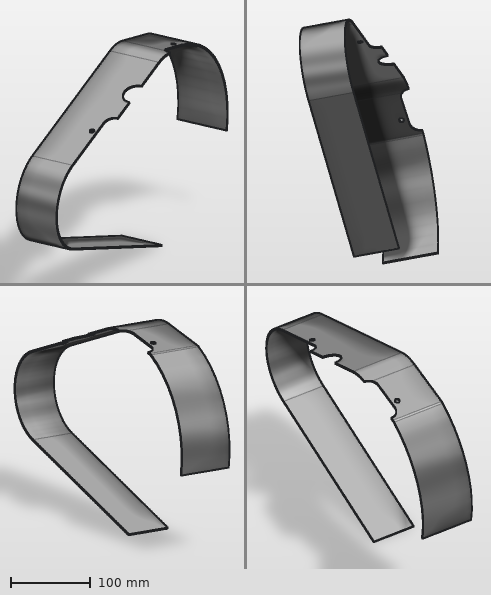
import cadquery as cq
import math

thickness = 2.0
full_width = 71.5
narrow_width = 58.5

lower_slope = 19.0
long_slope = 21.0
top_slope = 12.0

nose_radius = 61.0
lower_length = 230.0
long_length_to_corner = 220.5
crown_radius = 54.0
back_radius = 134.0
back_centre_y = 203.5
back_end_angle = -10.0
knee_radius = 10.0

edge_slot_radius = full_width - narrow_width
notch_radius = 16.0
hole_diameter = 6.0
top_hole_x = 50.2
long_hole_x = 51.4
top_slot_start = -3.5
top_slot_end = 62.5
top_hole_position = 41.6
notch_position = 142.4
long_slot_start = -2 * edge_slot_radius
long_slot_end = 95.7
long_hole_position = 64.3

cut_reach = 12.0
clearance = 5.0

same_point = 1e-6


def polar(degrees):
    """Unit (y, z) vector at an angle from +Y."""
    return math.cos(math.radians(degrees)), math.sin(math.radians(degrees))


def along(point, direction, distance):
    return point[0] + distance * direction[0], point[1] + distance * direction[1]


long_normal = 90.0 + long_slope
top_normal = 90.0 - top_slope
lower_normal = -90.0 - lower_slope
long_direction = polar(long_slope)
top_direction = polar(-top_slope)
lower_direction = polar(-lower_slope)

nose_centre = (0.0, 0.0)
back_centre = (back_centre_y, 0.0)
long_start = along(nose_centre, polar(long_normal), nose_radius)
corner = along(long_start, long_direction, long_length_to_corner)
crown_setback = crown_radius * math.tan(math.radians(long_slope + top_slope) / 2)
crown_start = along(corner, long_direction, -crown_setback)
crown_centre = along(crown_start, polar(long_normal), -crown_radius)
top_start = along(corner, top_direction, crown_setback)


def find_knee_centre():
    """Centre of the bend that touches the top flat and the back arc from inside."""
    start = along(top_start, polar(top_normal), -knee_radius)
    gap = (start[0] - back_centre[0], start[1] - back_centre[1])
    gap_along = gap[0] * top_direction[0] + gap[1] * top_direction[1]
    gap_across = gap[0] * top_direction[1] - gap[1] * top_direction[0]
    half_chord = math.sqrt((back_radius - knee_radius) ** 2 - gap_across**2)
    return along(start, top_direction, half_chord - gap_along)


knee_centre = find_knee_centre()
knee_end_normal = math.degrees(
    math.atan2(knee_centre[1] - back_centre[1], knee_centre[0] - back_centre[0])
)

bends = [
    (nose_centre, nose_radius, 360.0 + lower_normal, long_normal),
    (crown_centre, crown_radius, long_normal, top_normal),
    (knee_centre, knee_radius, top_normal, knee_end_normal),
    (back_centre, back_radius, knee_end_normal, back_end_angle),
]
lower_start = along(nose_centre, polar(lower_normal), nose_radius)
lower_end = along(lower_start, lower_direction, lower_length)


def surface_line(offset):
    """Strip line from the lower end to the back end, shifted outwards by an offset."""
    point = along(lower_end, polar(lower_normal), offset)
    edges = []
    for centre, radius, first, last in bends:
        start, middle, end = (
            cq.Vector(0, *along(centre, polar(angle), radius + offset))
            for angle in (first, (first + last) / 2, last)
        )
        if (cq.Vector(0, *point) - start).Length > same_point:
            edges.append(cq.Edge.makeLine(cq.Vector(0, *point), start))
        edges.append(cq.Edge.makeThreePointArc(start, middle, end))
        point = (end.y, end.z)
    return edges


def make_strip():
    outer = surface_line(thickness / 2)
    inner = surface_line(-thickness / 2)
    lower_tip = cq.Edge.makeLine(outer[0].startPoint(), inner[0].startPoint())
    back_tip = cq.Edge.makeLine(outer[-1].endPoint(), inner[-1].endPoint())
    profile = cq.Wire.assembleEdges(outer + [back_tip] + inner[::-1] + [lower_tip])
    return cq.Workplane(cq.Solid.extrudeLinear(profile, [], cq.Vector(full_width, 0, 0)))


def flat_plane(origin, normal_angle):
    """Work plane on a flat: local x is X, local y runs along the flat towards the back."""
    normal = polar(normal_angle)
    return cq.Workplane(cq.Plane((0, *origin), (1, 0, 0), (0, *normal)))


def edge_slot(plane, start, end):
    """Round-ended slot centred on the +X edge, which leaves the strip at its narrow width."""
    return (
        plane.center(full_width, (start + end) / 2)
        .slot2D(end - start, 2 * edge_slot_radius, 90)
        .extrude(cut_reach, both=True)
    )


def round_cut(plane, x, position, radius):
    """Round cutter for a hole or an edge notch."""
    return plane.center(x, position).circle(radius).extrude(cut_reach, both=True)


def narrow_end_cut():
    """Block that narrows the nose bend and the whole lower flat."""
    y_min = -nose_radius - clearance
    y_max = lower_end[0] + clearance
    z_min = lower_end[1] - clearance
    x_size = full_width - narrow_width + clearance
    block = cq.Workplane().box(x_size, y_max - y_min, long_start[1] - z_min, centered=False)
    return block.translate((narrow_width, y_min, z_min))


long_flat = flat_plane(long_start, long_normal)
top_flat = flat_plane(top_start, top_normal)

result = (
    make_strip()
    .cut(edge_slot(top_flat, top_slot_start, top_slot_end))
    .cut(round_cut(top_flat, top_hole_x, top_hole_position, hole_diameter / 2))
    .cut(round_cut(long_flat, full_width, notch_position, notch_radius))
    .cut(edge_slot(long_flat, long_slot_start, long_slot_end))
    .cut(round_cut(long_flat, long_hole_x, long_hole_position, hole_diameter / 2))
    .cut(narrow_end_cut())
)